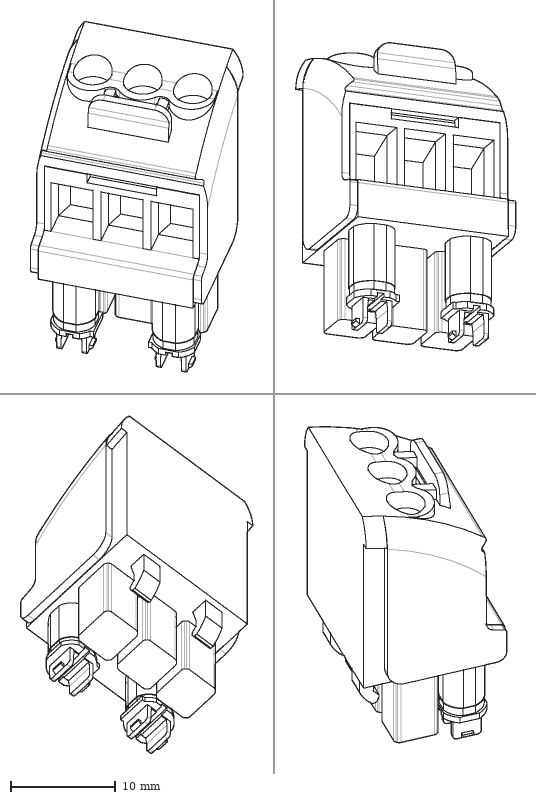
import cadquery as cq
import math


PITCH = 5.0
POLES = [-PITCH, 0, PITCH]
TOTAL_WIDTH = 17.15
TOTAL_DEPTH = 14.5
TOTAL_HEIGHT = 30.58
CREST_Z = 20.7
LOWEST_Z = CREST_Z - TOTAL_HEIGHT

HALF_WIDTH = TOTAL_WIDTH / 2
REAR_HALF = 8.47
ROOF_HALF = 7.43
CORE_HALF = 7.77
DOME_Y = 5.8
DOME_Z = -7.65
DOME_RADIUS = math.hypot(DOME_Y, CREST_Z - DOME_Z)
CAP_DEPTH = 3.05
CAP_RADIUS = DOME_RADIUS - CAP_DEPTH
FRONT_Y = -12.3
PANEL_Y = FRONT_Y - 0.05
PANEL_TOP = 12.25
CHEEK_REAR_Y = -2.15
CHEEK_INSET = 0.1
CHEEK_REAR_CORNER = 1.85
CHEEK_FRONT_CORNER = 1.07
CHEEK_FILLET = 1.05
LIP_TIP = (-12.8, 14.5, 0.18)
LIP_HOLLOW = (-11.83, 13.88, 0.28)
LIP_BOTTOM = 13.45
LEDGE_SLOPE = 0.27
LEDGE_Z = 4.4
NOSE_RADIUS = 0.45
ABOVE_ROOF = CREST_Z + 1.53

OPENING = (4.2, 6.0)
OPENING_Z = LEDGE_Z
FUNNEL_END = (2.5, 3.55)
FUNNEL_END_Z = 5.0
MOUTH_DEPTH = 2.5
FUNNEL_DEPTH = 1.22
SLOT_WIDTH = 6.97
SLOT_BOTTOM = 11.22
SLOT_BACK_TOP = 12.0
SLOT_DEPTH = 0.98
SLOT_LEAN = 0.15

HOLE_RADIUS = 1.87
HOLE_Y = -5.35
HOLE_FLOOR = 17.05
COLLAR_TOP = 19.05
COLLAR_RADIUS = 2.32
COLLAR_Y = -5.8
COLLAR_BLEND_Y = -4.83
COLLAR_FLAT_Y = -5.87
VALLEY_Y = -6.97

TAB_HALF = 4.05
TAB_REAR_Y = -9.2
TAB_TOP = 19.82
TAB_CORNER = 1.47
TAB_ROOT_Z = 15.3
ARM_INNER = 2.17
ARM_OUTER = 3.18
POCKET_HALF = 2.1

POST_WIDTH = 4.22
POST_REAR_Y = -3.52
POST_FRONT_Y = -8.07
POST_CHAMFER = 0.37
POST_BLEND = 0.43
POST_BOTTOM = -8.23
BUSHING_X = 4.98
BUSHING_Y = -11.1
HOOK_INNER_X = 2.95
HOOK_OUTER_X = 5.05
OVERLAP = 0.3


def rounded(plane, corners):
    """Closed outline from (u, v, radius) corners; a zero radius leaves the corner sharp."""
    wire = None
    for i, (u, v, radius) in enumerate(corners):
        before = corners[i - 1]
        after = corners[(i + 1) % len(corners)]
        a = math.atan2(before[1] - v, before[0] - u)
        b = math.atan2(after[1] - v, after[0] - u)
        half = math.acos(math.cos(a - b)) / 2
        reach = radius / math.tan(half)
        start = (u + reach * math.cos(a), v + reach * math.sin(a))
        wire = plane.moveTo(*start) if wire is None else wire.lineTo(*start)
        if radius > 0:
            end = (u + reach * math.cos(b), v + reach * math.sin(b))
            middle = math.atan2(math.sin(a) + math.sin(b), math.cos(a) + math.cos(b))
            crown = radius / math.sin(half) - radius
            top = (u + crown * math.cos(middle), v + crown * math.sin(middle))
            wire = wire.threePointArc(top, end)
    return wire.close()


def side_plate(corners, x_from, x_to):
    """Side outline of (y, z, radius) corners, extruded along X."""
    return rounded(cq.Workplane("YZ", origin=(x_from, 0, 0)), corners).extrude(x_to - x_from)


def block(x, y, z):
    """Box from (low, high) pairs."""
    size = [high - low for low, high in (x, y, z)]
    return cq.Workplane("XY").box(*size, centered=False).translate((x[0], y[0], z[0]))


def mirrored(solid):
    return solid.union(solid.mirror("YZ"))


def pole_cylinders(radius, y, bottom, top):
    return (
        cq.Workplane("XY", origin=(0, 0, bottom))
        .pushPoints([(x, y) for x in POLES])
        .circle(radius)
        .extrude(top - bottom)
    )


def make_dome(half_width):
    """Solid of revolution whose outside is the curved roof with rounded sides."""
    narrowing = half_width - ROOF_HALF
    side_radius = (CAP_DEPTH**2 + narrowing**2) / (2 * narrowing)
    mid_height = CAP_DEPTH / 2
    mid_x = half_width - side_radius + math.sqrt(side_radius**2 - mid_height**2)
    return (
        cq.Workplane("XZ", origin=(0, DOME_Y, DOME_Z))
        .moveTo(-half_width, 0)
        .lineTo(-half_width, CAP_RADIUS)
        .threePointArc((-mid_x, CAP_RADIUS + mid_height), (-ROOF_HALF, DOME_RADIUS))
        .lineTo(ROOF_HALF, DOME_RADIUS)
        .threePointArc((mid_x, CAP_RADIUS + mid_height), (half_width, CAP_RADIUS))
        .lineTo(half_width, 0)
        .close()
        .revolve(360, (0, 0, 0), (1, 0, 0))
    )


def ledge_height(y):
    return LEDGE_Z - LEDGE_SLOPE * (PANEL_Y - y)


def make_cap(dome, rear_dome, under_cap):
    """Roof shell: everything above the cheeks, with the lip over the front frame."""
    below_cap = 6.12
    run = 6.12
    lip_slope = 0.84
    corners = [
        (0, below_cap, 0),
        (0, ABOVE_ROOF, 0),
        (LIP_TIP[0] + run, LIP_TIP[1] + run * lip_slope, 0),
        LIP_TIP,
        LIP_HOLLOW,
        (FRONT_Y, LIP_BOTTOM, 0),
        (FRONT_Y, below_cap, 0),
    ]
    shell = side_plate(corners, -HALF_WIDTH, HALF_WIDTH).cut(under_cap)
    rear_zone = block((-HALF_WIDTH, HALF_WIDTH), (CHEEK_REAR_Y, 0), (0, ABOVE_ROOF))
    front = shell.cut(rear_zone).intersect(dome)
    rear = shell.intersect(rear_zone).intersect(rear_dome)
    return front.union(rear)


def make_core(rear_dome):
    """Body between the cheeks with the raised panel and the front nose."""
    behind_lip_y = FRONT_Y + 0.6
    corners = [
        (0, 0, 0),
        (0, ABOVE_ROOF, 0),
        (behind_lip_y, ABOVE_ROOF, 0),
        (behind_lip_y, PANEL_TOP, 0),
        (PANEL_Y, PANEL_TOP, 0),
        (PANEL_Y, LEDGE_Z, 0),
        (-TOTAL_DEPTH, ledge_height(-TOTAL_DEPTH), NOSE_RADIUS),
        (-TOTAL_DEPTH, 0, 0),
    ]
    return side_plate(corners, -CORE_HALF, CORE_HALF).intersect(rear_dome)


def make_cheeks(under_cap):
    front = CHEEK_INSET - TOTAL_DEPTH
    corners = [
        (CHEEK_REAR_Y, CHEEK_INSET, CHEEK_REAR_CORNER),
        (CHEEK_REAR_Y, ABOVE_ROOF, 0),
        (FRONT_Y, ABOVE_ROOF, 0),
        (FRONT_Y, ledge_height(FRONT_Y) - CHEEK_INSET, CHEEK_FILLET),
        (front, ledge_height(front) - CHEEK_INSET, NOSE_RADIUS - CHEEK_INSET),
        (front, CHEEK_INSET, CHEEK_FRONT_CORNER),
    ]
    return mirrored(side_plate(corners, CORE_HALF, HALF_WIDTH).intersect(under_cap))


def make_wire_entry(x):
    """Straight mouth behind the panel that narrows into a funnel."""
    mouth_z = OPENING_Z + OPENING[1] / 2
    end_z = FUNNEL_END_Z + FUNNEL_END[1] / 2
    face = cq.Workplane("XZ", origin=(x, PANEL_Y, mouth_z))
    mouth = face.rect(*OPENING).extrude(-MOUTH_DEPTH)
    funnel = (
        face.workplane(offset=-MOUTH_DEPTH)
        .rect(*OPENING)
        .workplane(offset=-FUNNEL_DEPTH)
        .center(0, end_z - mouth_z)
        .rect(*FUNNEL_END)
        .loft(ruled=True)
    )
    return mouth.union(funnel)


def make_slot():
    corners = [
        (PANEL_Y, SLOT_BOTTOM, 0),
        (PANEL_Y + SLOT_DEPTH, SLOT_BOTTOM, 0),
        (PANEL_Y + SLOT_DEPTH, SLOT_BACK_TOP, 0),
        (PANEL_Y + SLOT_DEPTH + SLOT_LEAN, PANEL_TOP, 0),
        (PANEL_Y, PANEL_TOP, 0),
    ]
    return side_plate(corners, -SLOT_WIDTH / 2, SLOT_WIDTH / 2)


def make_collar():
    """Raised flat rim with a scalloped front edge around the three holes."""
    base = HOLE_FLOOR - OVERLAP
    half_pitch = PITCH / 2
    rise = COLLAR_Y - VALLEY_Y
    valley = (rise**2 + half_pitch**2 - COLLAR_RADIUS**2) / (2 * (COLLAR_RADIUS - rise))
    valley_center = VALLEY_Y - valley
    tangent_y = COLLAR_Y + (valley_center - COLLAR_Y) * COLLAR_RADIUS / (COLLAR_RADIUS + valley)
    valleys = (
        cq.Workplane("XY", origin=(0, 0, base))
        .pushPoints([(-half_pitch, valley_center), (half_pitch, valley_center)])
        .circle(valley)
        .extrude(COLLAR_TOP - base)
    )
    webs = block((-PITCH, PITCH), (tangent_y, COLLAR_Y), (base, COLLAR_TOP)).cut(valleys)
    front = block(
        (-HALF_WIDTH, HALF_WIDTH), (-TOTAL_DEPTH, COLLAR_FLAT_Y), (base, COLLAR_TOP)
    )
    rim = pole_cylinders(COLLAR_RADIUS, COLLAR_Y, base, COLLAR_TOP).union(webs).intersect(front)

    blend_drop = DOME_Y - COLLAR_BLEND_Y
    blend_z = DOME_Z + math.sqrt(DOME_RADIUS**2 - blend_drop**2)
    roof_slope = blend_drop / (blend_z - DOME_Z)
    blend = (
        cq.Workplane("YZ", origin=(-PITCH - COLLAR_RADIUS, 0, 0))
        .moveTo(COLLAR_BLEND_Y, base)
        .lineTo(COLLAR_BLEND_Y, blend_z)
        .spline(
            [(COLLAR_FLAT_Y, COLLAR_TOP)],
            tangents=[(-1, -roof_slope), (-1, 0)],
            includeCurrent=True,
        )
        .lineTo(COLLAR_FLAT_Y, base)
        .close()
        .extrude(2 * (PITCH + COLLAR_RADIUS))
    )
    return rim.union(blend)


def make_tab():
    """Release tab: upright plate with rounded top corners on two arms."""
    front_y = -10.05
    root_front_y = -10.35
    arm_rear_z = 18.87
    arm_front_z = 18.35
    profile = [
        (TAB_REAR_Y, TAB_ROOT_Z, 0),
        (TAB_REAR_Y, TAB_TOP, 0),
        (front_y, TAB_TOP, 0),
        (front_y, 18.62, 0),
        (-10.15, 17.98, 0),
        (root_front_y, 16.2, 0),
        (root_front_y, TAB_ROOT_Z, 0),
    ]
    face = [
        (-TAB_HALF, TAB_ROOT_Z, 0),
        (-TAB_HALF, TAB_TOP, TAB_CORNER),
        (TAB_HALF, TAB_TOP, TAB_CORNER),
        (TAB_HALF, TAB_ROOT_Z, 0),
    ]
    face_solid = rounded(cq.Workplane("XZ"), face).extrude(TOTAL_DEPTH)
    plate = side_plate(profile, -TAB_HALF, TAB_HALF).intersect(face_solid)
    arm = [
        (VALLEY_Y, TAB_ROOT_Z, 0),
        (VALLEY_Y, arm_rear_z, 0),
        (TAB_REAR_Y, arm_front_z, 0),
        (TAB_REAR_Y, TAB_ROOT_Z, 0),
    ]
    return plate.union(mirrored(side_plate(arm, ARM_INNER, ARM_OUTER)))


def make_tab_pocket():
    """Steep-floored pocket behind the tab, between its arms."""
    rear_y = -7.2
    front_y = -9.0
    corners = [
        (rear_y, 18.15, 0),
        (rear_y, COLLAR_TOP, 0),
        (front_y, COLLAR_TOP, 0),
        (front_y, 16.2, 0),
    ]
    return side_plate(corners, -POCKET_HALF, POCKET_HALF)


def make_posts():
    depth = POST_REAR_Y - POST_FRONT_Y
    return (
        cq.Workplane("XY", origin=(0, (POST_REAR_Y + POST_FRONT_Y) / 2, POST_BOTTOM))
        .pushPoints([(x, 0) for x in POLES])
        .rect(POST_WIDTH, depth)
        .extrude(OVERLAP - POST_BOTTOM)
        .edges("|Z")
        .chamfer(POST_CHAMFER)
        .edges("|Z")
        .fillet(POST_BLEND)
    )


def make_hook():
    """Rear latch hook hanging under the housing."""
    return (
        cq.Workplane("YZ", origin=(HOOK_INNER_X, 0, 0))
        .moveTo(-0.6, OVERLAP)
        .lineTo(-0.6, -2.72)
        .threePointArc((-1.13, -3.6), (-1.9, -4.4))
        .lineTo(-2.2, -4.4)
        .threePointArc((-2.5, -4.0), (-2.6, -3.52))
        .lineTo(-2.02, -2.9)
        .lineTo(-2.02, -1.9)
        .lineTo(-2.48, 0)
        .lineTo(-2.48, OVERLAP)
        .close()
        .extrude(HOOK_OUTER_X - HOOK_INNER_X)
    )


def flatted_round(radius, flats, bottom, top):
    """Cylinder with four flats, centred on the Z axis."""
    cylinder = cq.Workplane("XY", origin=(0, 0, bottom)).circle(radius).extrude(top - bottom)
    return cylinder.intersect(block((-flats, flats), (-flats, flats), (bottom, top)))


def make_bushing():
    """Round plug sleeve with a neck, a flange and two barbed spring legs."""
    shoulder_z = -5.8
    flange_top = -6.73
    flange_bottom = -7.4
    bridge_bottom = -7.58
    bridge_half = 0.92
    keyway_half = 0.35
    keyway_top = -7.03
    leg_half_depth = 1.47
    barb_half_depth = 0.58
    leg_corner = 0.43
    barb_top = -9.3
    barb_inner_x = 1.22
    barb_tip_x = 1.87
    leg_outer_x = 1.5
    leg_inner_x = 1.05
    flange_half = 2.23
    flange_corner_y = 1.55

    sleeve = flatted_round(2.23, 2.15, shoulder_z, OVERLAP)
    neck = flatted_round(2.17, 2.08, flange_top, shoulder_z)
    flange = flatted_round(2.45, flange_half, flange_bottom, flange_top)
    inner_side = block((-flange_half, 0), (-flange_corner_y, flange_corner_y), (flange_bottom, flange_top))
    bridge = block(
        (-bridge_half, bridge_half),
        (-leg_half_depth, leg_half_depth),
        (bridge_bottom, flange_bottom),
    )
    keyway = block(
        (-keyway_half, keyway_half),
        (-2 * leg_half_depth, 2 * leg_half_depth),
        (bridge_bottom, keyway_top),
    )

    leg_face = [
        (-leg_half_depth, flange_bottom, 0),
        (leg_half_depth, flange_bottom, 0),
        (leg_half_depth, LOWEST_Z, leg_corner),
        (-leg_half_depth, LOWEST_Z, leg_corner),
    ]
    leg_shape = [
        (bridge_half, flange_bottom, 0),
        (leg_outer_x, flange_bottom, 0),
        (leg_outer_x, LOWEST_Z, 0),
        (leg_inner_x, LOWEST_Z, 0),
        (leg_inner_x, -8.4, 0),
    ]
    leg = side_plate(leg_face, 0, 2 * leg_half_depth).intersect(
        rounded(cq.Workplane("XZ", origin=(0, leg_half_depth, 0)), leg_shape)
        .extrude(2 * leg_half_depth)
    )
    barb_shape = [
        (barb_inner_x, barb_top, 0),
        (barb_tip_x, barb_top, 0),
        (barb_tip_x, -9.55, 0),
        (leg_outer_x, LOWEST_Z, 0),
        (barb_inner_x, LOWEST_Z, 0),
    ]
    barb = rounded(cq.Workplane("XZ", origin=(0, barb_half_depth, 0)), barb_shape).extrude(
        2 * barb_half_depth
    )
    legs = mirrored(leg.union(barb))
    base = flange.union(inner_side).union(bridge).cut(keyway)
    return sleeve.union(neck).union(base).union(legs)


dome = make_dome(HALF_WIDTH)
rear_dome = make_dome(REAR_HALF)
under_cap = (
    cq.Workplane("YZ", origin=(-HALF_WIDTH, DOME_Y, DOME_Z))
    .circle(CAP_RADIUS)
    .extrude(TOTAL_WIDTH)
)
housing = make_core(rear_dome).union(make_cheeks(under_cap))
housing = housing.union(make_cap(dome, rear_dome, under_cap))
for pole_x in POLES:
    housing = housing.cut(make_wire_entry(pole_x))
housing = housing.cut(make_slot())

housing = housing.cut(make_tab_pocket()).union(make_collar()).union(make_tab())
housing = housing.cut(pole_cylinders(HOLE_RADIUS, HOLE_Y, HOLE_FLOOR, ABOVE_ROOF))

bushing = make_bushing().translate((BUSHING_X, BUSHING_Y, 0))
result = housing.union(make_posts()).union(mirrored(make_hook())).union(mirrored(bushing))